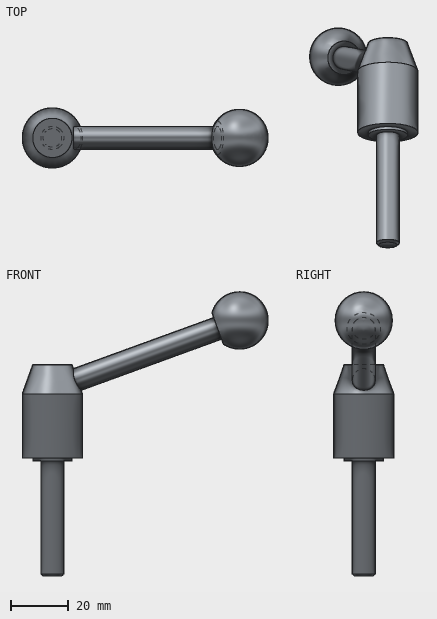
import cadquery as cq
import math

stud_diameter = 8.0
stud_length = 40.0
stud_chamfer = 0.8
collar_diameter = 13.6
collar_height = 1.0
hub_diameter = 21.0
hub_straight_height = 22.3
hub_cone_height = 10.2
hub_top_diameter = 13.6

total_height = 98.85
ball_diameter = 20.0
ball_reach = 65.0
ball_flat_distance = 8.1
arm_diameter = 8.0
arm_angle = 20.0

hub_base = stud_length + collar_height
hub_shoulder = hub_base + hub_straight_height
hub_top = hub_shoulder + hub_cone_height
ball_radius = ball_diameter / 2
ball_center = cq.Vector(ball_reach, 0, total_height - ball_radius)
arm_direction = cq.Vector(
    math.cos(math.radians(arm_angle)), 0, math.sin(math.radians(arm_angle))
)


def make_hub_and_stud():
    """Revolve the stepped profile of stud, collar and tapered hub."""
    return (
        cq.Workplane("XZ")
        .moveTo(0, 0)
        .lineTo(stud_diameter / 2 - stud_chamfer, 0)
        .lineTo(stud_diameter / 2, stud_chamfer)
        .lineTo(stud_diameter / 2, stud_length)
        .lineTo(collar_diameter / 2, stud_length)
        .lineTo(collar_diameter / 2, hub_base)
        .lineTo(hub_diameter / 2, hub_base)
        .lineTo(hub_diameter / 2, hub_shoulder)
        .lineTo(hub_top_diameter / 2, hub_top)
        .lineTo(0, hub_top)
        .close()
        .revolve(360, (0, 0), (0, 1))
    )


def make_arm():
    """Round bar from inside the hub, below its top face, to the ball center."""
    arm_length = ball_reach / arm_direction.x
    start = ball_center - arm_direction * arm_length
    return cq.Workplane(cq.Solid.makeCylinder(arm_diameter / 2, arm_length, start, arm_direction))


def make_ball():
    """Ball with a flat facing the hub, square to the arm."""
    ball = cq.Workplane("XY").sphere(ball_radius).translate(ball_center)
    flat_center = ball_center - arm_direction * ball_flat_distance
    cutter = cq.Solid.makeCylinder(ball_diameter, ball_diameter, flat_center, arm_direction * -1)
    return ball.cut(cq.Workplane(cutter))


result = make_hub_and_stud().union(make_arm()).union(make_ball())